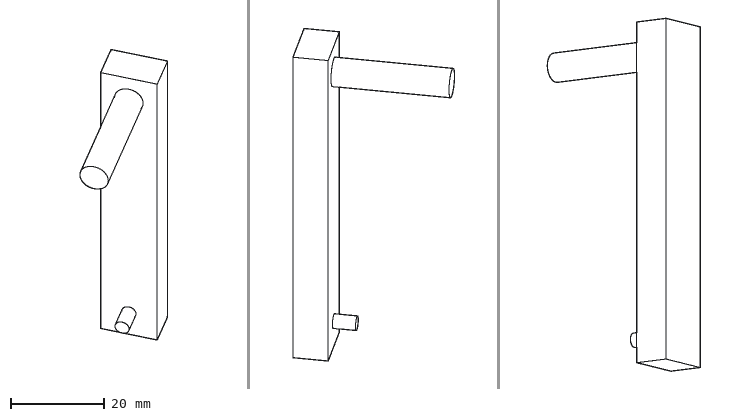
import cadquery as cq

bar_width = 12.7
bar_depth = 7.7
bar_height = 74.3

total_depth = 33.5
handle_diameter = 6.4
handle_length = total_depth - bar_depth
handle_drop = bar_width / 2

locator_diameter = 3.2
locator_length = 5.05
locator_rise = bar_width / 2


def front_pin(diameter, length, height):
    """Round pin standing out of the bar's front face toward -Y."""
    front_face = cq.Workplane("XZ", origin=(0, 0, height))
    return front_face.circle(diameter / 2).extrude(length)


bar = cq.Workplane("XY").box(bar_width, bar_depth, bar_height, centered=(True, False, False))
handle = front_pin(handle_diameter, handle_length, bar_height - handle_drop)
locator = front_pin(locator_diameter, locator_length, locator_rise)

result = bar.union(handle).union(locator)